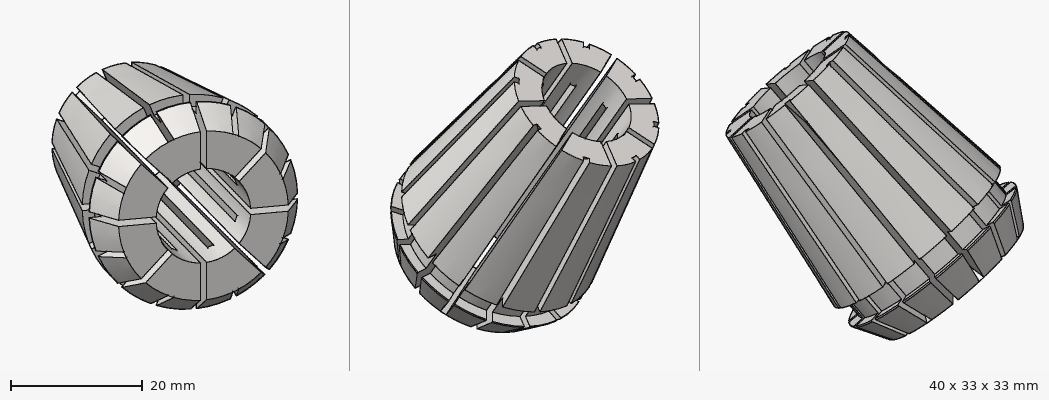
import cadquery as cq
import math

length = 40.0
outer_diameter = 33.0
bore_diameter = 15.0
outer_radius = outer_diameter / 2
bore_radius = bore_diameter / 2

body_end = 30.85
rim_start = 34.45
nose_start = 34.7
neck_radius = 14.6
body_taper = 8.0
nose_taper = 30.0
small_end_radius = outer_radius - body_end * math.tan(math.radians(body_taper))
nose_end_radius = outer_radius - (length - nose_start) * math.tan(math.radians(nose_taper))

slots_per_set = 8
slot_width = 1.0
slot_pitch = 360 / slots_per_set

small_end_runout_radius = 11.35
small_end_runout_length = 4.9
nose_runout_angle = 45.0
nose_runout_length = (nose_end_radius - bore_radius) / math.tan(math.radians(nose_runout_angle))


def revolve_about_axis(points):
    """Turn an outline of (x, radius) points about the X axis."""
    return cq.Workplane("XY").polyline(points).close().revolve(360, (0, 0, 0), (1, 0, 0))


def collet_blank():
    """Tapered body, extraction neck and steep nose around a plain bore."""
    return revolve_about_axis([
        (0, bore_radius),
        (0, small_end_radius),
        (body_end, outer_radius),
        (body_end, neck_radius),
        (rim_start, neck_radius),
        (rim_start, outer_radius),
        (nose_start, outer_radius),
        (length, nose_end_radius),
        (length, bore_radius),
    ])


def small_end_core():
    """Conical ring at the small end, left standing under the slots that open at the nose."""
    return revolve_about_axis([
        (0, bore_radius),
        (0, small_end_runout_radius),
        (small_end_runout_length, bore_radius),
    ])


def nose_core():
    """Conical ring at the nose, left standing under the slots that open at the small end."""
    return revolve_about_axis([
        (length - nose_runout_length, bore_radius),
        (length, nose_end_radius),
        (length, bore_radius),
    ])


def slot_cutter(angle, core):
    """Radial blade along the whole part, turned about X, that spares the given core."""
    blade = cq.Workplane("XY").box(length, outer_radius, slot_width, centered=(False, False, True))
    return blade.rotate((0, 0, 0), (1, 0, 0), angle).cut(core)


result = collet_blank()
for index in range(slots_per_set):
    nose_slot_angle = index * slot_pitch
    small_end_slot_angle = nose_slot_angle + slot_pitch / 2
    result = result.cut(slot_cutter(nose_slot_angle, small_end_core()))
    result = result.cut(slot_cutter(small_end_slot_angle, nose_core()))